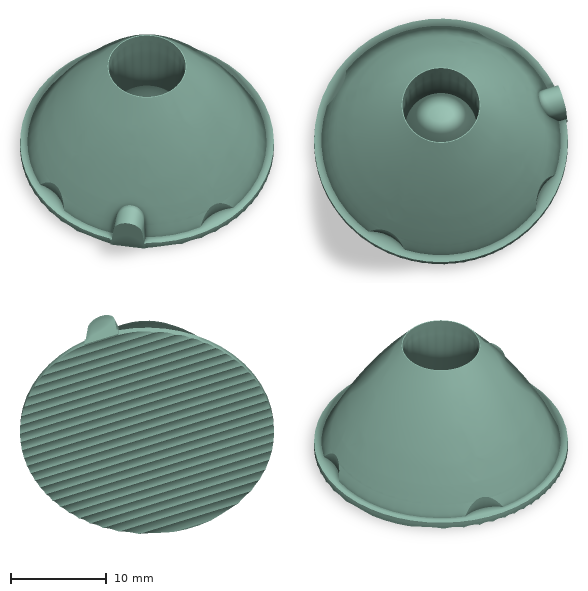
import cadquery as cq
import math

flange_radius = 13.25
flange_height = 0.82

body_height = 13.85
body_base_radius = 12.48
band_top_radius = 11.85
band_top_height = 2.07
body_mid_radius = 8.65
body_mid_height = 7.7
body_top_radius = 4.1

bore_top_radius = 4.03
bore_floor_radius = 3.74
bore_depth = 8.2
dome_rise = 1.6

scallop_count = 4
scallop_radius = 4.13
scallop_inner_reach = 11.7

tab_angle = -45.0
tab_face_distance = flange_radius
tab_inner_distance = 9.54
tab_height = 4.0
tab_shoulder_width = 3.02
tab_shoulder_height = 2.62
tab_base_width = 3.65
tab_foot_width = 3.7

groove_pitch = 1.046
groove_depth = 0.19
groove_cutter_base = -0.26
groove_length = 2.2 * flange_radius


def make_body():
    """Flange and curved body, revolved about Z with the bore and dome left open."""
    bore_floor_height = body_height - bore_depth
    dome_sphere_radius = (bore_floor_radius**2 + dome_rise**2) / (2 * dome_rise)
    dome_center_height = bore_floor_height + dome_rise - dome_sphere_radius
    half_angle = math.asin(bore_floor_radius / dome_sphere_radius) / 2
    dome_mid = (
        dome_sphere_radius * math.sin(half_angle),
        dome_center_height + dome_sphere_radius * math.cos(half_angle),
    )
    return (
        cq.Workplane("XZ")
        .moveTo(0, 0)
        .lineTo(flange_radius, 0)
        .lineTo(flange_radius, flange_height)
        .lineTo(body_base_radius, flange_height)
        .lineTo(band_top_radius, band_top_height)
        .threePointArc((body_mid_radius, body_mid_height), (body_top_radius, body_height))
        .lineTo(bore_top_radius, body_height)
        .lineTo(bore_floor_radius, bore_floor_height)
        .threePointArc(dome_mid, (0, bore_floor_height + dome_rise))
        .close()
        .revolve(360, (0, 0, 0), (0, 1, 0))
    )


def make_scallops():
    """Upright cylinders that bite into the body above the flange."""
    return (
        cq.Workplane("XY")
        .workplane(offset=flange_height)
        .polarArray(scallop_inner_reach + scallop_radius, 0, 360, scallop_count)
        .circle(scallop_radius)
        .extrude(body_height)
    )


def make_tab():
    """Drafted tab with a round top and a wider foot, pointing along +X before turning."""
    length = tab_face_distance - tab_inner_distance
    face = cq.Workplane("YZ").workplane(offset=tab_inner_distance)
    tab = (
        face.moveTo(-tab_base_width / 2, 0)
        .lineTo(tab_base_width / 2, 0)
        .lineTo(tab_shoulder_width / 2, tab_shoulder_height)
        .threePointArc((0, tab_height), (-tab_shoulder_width / 2, tab_shoulder_height))
        .close()
        .extrude(length)
    )
    foot = face.center(0, flange_height / 2).rect(tab_foot_width, flange_height).extrude(length)
    return tab.union(foot).rotate((0, 0, 0), (0, 0, 1), tab_angle)


def make_grooves():
    """Side-by-side shallow round grooves, running square to the tab direction."""
    half_pitch = groove_pitch / 2
    groove_count_per_side = int((tab_face_distance - half_pitch) / groove_pitch)
    start = -(groove_count_per_side + 0.5) * groove_pitch
    profile = cq.Workplane("XZ", origin=(0, groove_length / 2, 0)).moveTo(start, 0)
    for index in range(-groove_count_per_side, groove_count_per_side + 1):
        center = index * groove_pitch
        profile = profile.threePointArc((center, groove_depth), (center + half_pitch, 0))
    cutter = profile.lineTo(-start, groove_cutter_base).lineTo(start, groove_cutter_base).close()
    return cutter.extrude(groove_length).rotate((0, 0, 0), (0, 0, 1), tab_angle)


result = make_body().cut(make_scallops()).union(make_tab()).cut(make_grooves())